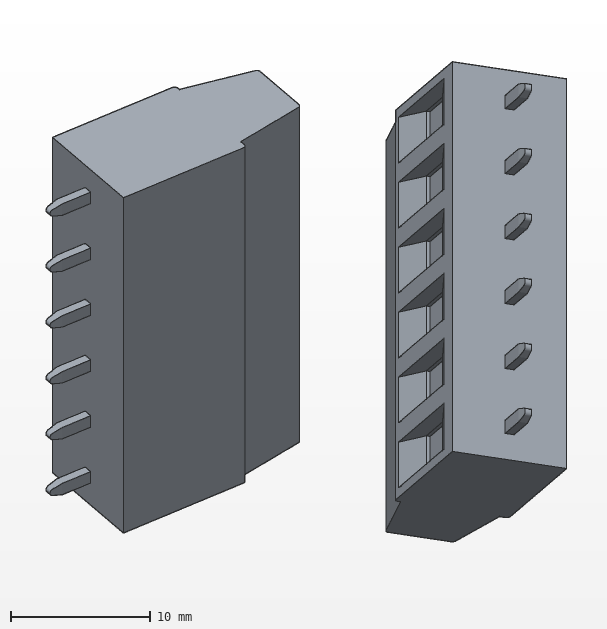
import cadquery as cq
import math

pole_count = 6
body_height = 30.0
pole_pitch = body_height / pole_count
pole_centers = [pole_pitch * (index + 0.5) for index in range(pole_count)]

body_width = 8.9
body_depth = 16.8
shoulder_y = 10.8
left_ledge = 0.48
right_ledge = 0.72
top_left_x = 1.8
top_right_x = 7.15
corner_radius = 0.3

entry_y_min = 1.53
entry_length = 8.5
entry_height = 3.5
throat_y_min = 4.23
throat_length = 3.0
throat_height = 2.8
funnel_depth = 1.0
recess_depth = 0.3

pin_length = 3.5
pin_width = 0.7
pin_height = 1.02
tip_length = 1.02
tip_end_width = 0.5
nose_radius = 0.3
pin_x = body_width / 2
shank_length = pin_length - tip_length


def make_body():
    """Block with a tapered rear part set in behind two shoulders."""
    outer_corners = [
        (0, shoulder_y),
        (body_width, shoulder_y),
        (top_left_x, body_depth),
        (top_right_x, body_depth),
    ]
    body = (
        cq.Workplane("XY")
        .polyline([
            (0, 0),
            (body_width, 0),
            (body_width, shoulder_y),
            (body_width - right_ledge, shoulder_y),
            (top_right_x, body_depth),
            (top_left_x, body_depth),
            (left_ledge, shoulder_y),
            (0, shoulder_y),
        ])
        .close()
        .extrude(body_height)
    )
    middle = body_height / 2
    for x, y in outer_corners:
        body = body.edges(cq.NearestToPointSelector((x, y, middle))).fillet(corner_radius)
    return body


def make_wire_entry(center_z):
    """Funnel narrowing toward +X, followed by its straight recess."""
    entry_center = (entry_y_min + entry_length / 2, center_z)
    throat_center = (throat_y_min + throat_length / 2, center_z)
    throat_shift = (throat_center[0] - entry_center[0], 0)
    funnel = (
        cq.Workplane("YZ")
        .center(*entry_center)
        .rect(entry_length, entry_height)
        .workplane(offset=funnel_depth)
        .center(*throat_shift)
        .rect(throat_length, throat_height)
        .loft(ruled=True)
    )
    recess = (
        cq.Workplane("YZ", origin=(funnel_depth, 0, 0))
        .center(*throat_center)
        .rect(throat_length, throat_height)
        .extrude(recess_depth)
    )
    return funnel.union(recess)


def make_pin(center_z):
    """Pin whose tip tapers on all four sides and ends in a full-round nose in the YZ plane."""
    half_width = pin_width / 2
    half_height = pin_height / 2
    half_end = tip_end_width / 2

    nose_center_y = nose_radius - pin_length
    taper_run = tip_length - nose_radius
    center_distance = math.hypot(taper_run, half_height)
    taper_angle = math.atan2(half_height, taper_run) - math.asin(nose_radius / center_distance)
    tangent_y = nose_center_y - nose_radius * math.sin(taper_angle)
    tangent_z = nose_radius * math.cos(taper_angle)

    side_profile = (
        cq.Workplane("YZ")
        .moveTo(0, half_height)
        .lineTo(-shank_length, half_height)
        .lineTo(tangent_y, tangent_z)
        .threePointArc((-pin_length, 0), (tangent_y, -tangent_z))
        .lineTo(-shank_length, -half_height)
        .lineTo(0, -half_height)
        .close()
        .extrude(half_width, both=True)
    )
    plan_profile = (
        cq.Workplane("XY")
        .polyline([
            (-half_width, 0),
            (-half_width, -shank_length),
            (-half_end, -pin_length),
            (half_end, -pin_length),
            (half_width, -shank_length),
            (half_width, 0),
        ])
        .close()
        .extrude(half_height, both=True)
    )
    return side_profile.intersect(plan_profile).translate((pin_x, 0, center_z))


result = make_body()
for pole_z in pole_centers:
    result = result.cut(make_wire_entry(pole_z))
    result = result.union(make_pin(pole_z))